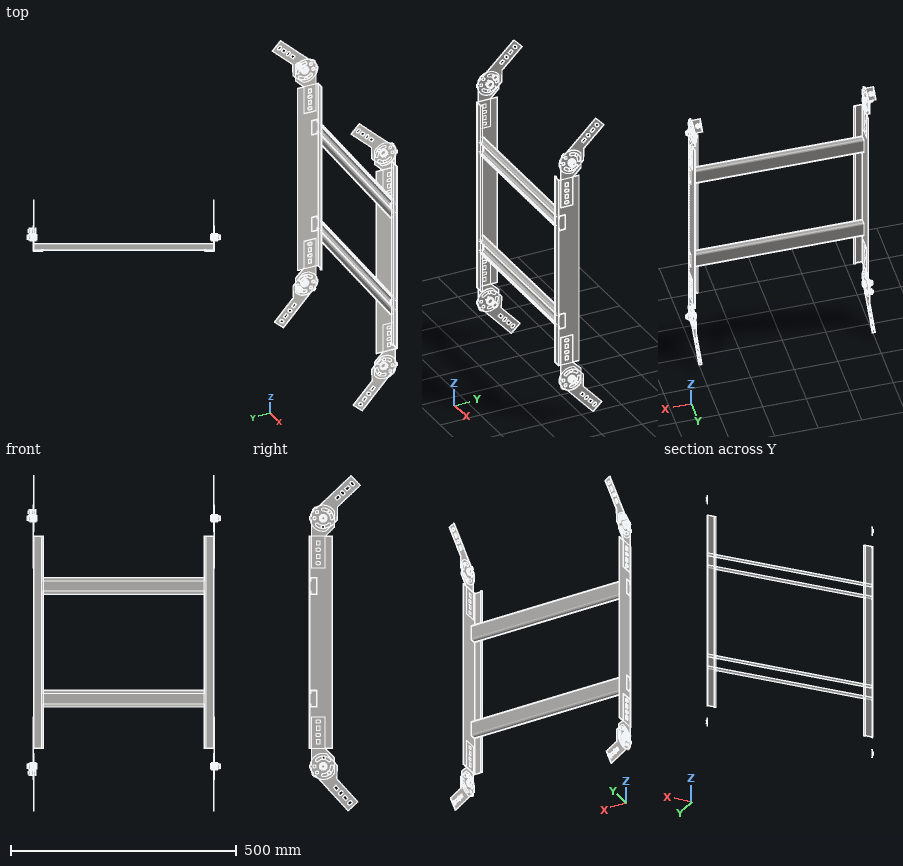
import cadquery as cq
import math

FRAME_WIDTH = 400.0
RAIL_LENGTH = 470.5
RAIL_DEPTH = 51.0
FLANGE_WIDTH = 21.5
BEAD_RADIUS = 2.0
SHEET = 1.5
WEB_OUTER = FRAME_WIDTH / 2
WEB_INNER = WEB_OUTER - SHEET
RUNG_OFFSET = 125.0
RUNG_HEIGHT = 38.0
RUNG_FRONT = 2.0
RUNG_DEPTH = 15.5
RUNG_LIP = 7.5
RUNG_BEND = 2.0

PIVOT_SPACING = 550.0
PIVOT_Y = 31.0
HUB_RADIUS = 29.0
HUB_BACK = 24.5
STRAP_WIDTH = 30.0
STRAP_BACK = 4.0
STRAP_FRONT = STRAP_BACK - STRAP_WIDTH
STRAP_LENGTH = 110.0
SHOULDER_BOTTOM = 41.0
POINTER_RADIUS = 30.5
POINTER_WIDTH = 7.0
UPPER_ARM_ANGLE = 46.5
LOWER_ARM_ANGLE = 42.5

STRAP_HOLE_PITCH = 15.0
STRAP_HOLE_END = 10.5
STRAP_HOLE_COUNT = 4
HOLE_DIA = 7.0
LONG_SLOT = 10.5
WINDOW_HEIGHT = 10.0
HOLE_CIRCLE = 19.0
SLOT_SPAN = 90.0
SLOT_STARTS = (0.0, 225.0)
POINTER_HOLES = (135.0, 180.0)
SIGHT_HOLE_FROM_ARM = 135.0

PIVOT_BOLT = (
    (10.0, 192.0, 214.5),
    (13.0, 192.0, 194.0),
    (17.0, 194.0, 196.0),
    (14.0, 196.0, 198.5),
    (17.0, 201.5, 204.0),
    (14.0, 204.0, 205.0),
    (17.0, 205.0, 208.0),
    (13.0, 208.0, 211.0),
)
LOCK_BOLT = (
    (10.0, 194.0, 210.5),
    (13.0, 194.0, 195.5),
    (13.0, 201.5, 204.5),
    (13.0, 207.0, 210.0),
    (5.7, 210.5, 213.0),
)
SOCKET_DIA = 7.5
SOCKET_DEPTH = 2.0


def make_rail():
    """Right-hand rail: a web and a front flange whose free edge is a round bead."""
    flange_end = WEB_OUTER - FLANGE_WIDTH
    bead_x = flange_end + BEAD_RADIUS
    bead_joint = bead_x + math.sqrt(BEAD_RADIUS**2 - (BEAD_RADIUS - SHEET) ** 2)
    return (
        cq.Workplane("XY")
        .moveTo(WEB_OUTER, RAIL_DEPTH)
        .lineTo(WEB_OUTER, 0)
        .lineTo(bead_x, 0)
        .threePointArc((flange_end, BEAD_RADIUS), (bead_joint, SHEET))
        .lineTo(WEB_INNER, SHEET)
        .lineTo(WEB_INNER, RAIL_DEPTH)
        .close()
        .extrude(RAIL_LENGTH / 2, both=True)
    )


def channel_bar(depth, height, radius, center_z):
    """Round-cornered bar along X between the rail webs, centred on a rung."""
    return (
        cq.Workplane("YZ")
        .center(RUNG_FRONT + RUNG_DEPTH / 2, center_z)
        .rect(depth, height)
        .extrude(WEB_INNER, both=True)
        .edges("|X")
        .fillet(radius)
    )


def make_rung(center_z):
    """Lipped channel, open towards -Y, between the inner faces of the rail webs."""
    channel = channel_bar(RUNG_DEPTH, RUNG_HEIGHT, RUNG_BEND, center_z)
    hollow = channel_bar(RUNG_DEPTH - 2 * SHEET, RUNG_HEIGHT - 2 * SHEET, RUNG_BEND - SHEET, center_z)
    opening = (
        cq.Workplane("YZ")
        .center(RUNG_FRONT + RUNG_DEPTH / 4, center_z)
        .rect(RUNG_DEPTH / 2, RUNG_HEIGHT - 2 * RUNG_LIP)
        .extrude(WEB_INNER, both=True)
    )
    return channel.cut(hollow).cut(opening)


def make_frame():
    """Two rails joined by two rungs."""
    rail = make_rail()
    frame = rail.union(rail.mirror("YZ"))
    for center_z in (-RUNG_OFFSET, RUNG_OFFSET):
        frame = frame.union(make_rung(center_z))
    return frame


def cylinder(diameter, y, z, inner_x, end_x):
    """Round bar along X."""
    return (
        cq.Workplane("YZ", origin=(inner_x, y, z))
        .circle(diameter / 2)
        .extrude(end_x - inner_x)
    )


def on_circle(radius, angle):
    """Y and Z of a point on a circle about the pivot."""
    turn = math.radians(angle)
    return radius * math.cos(turn), radius * math.sin(turn)


def on_hole_circle(angle):
    """Y and Z of a point on the ring of holes."""
    return on_circle(HOLE_CIRCLE, angle)


def rail_plate_hole(angle):
    """Cutter for a round hole through the rail plate only."""
    return cylinder(HOLE_DIA, *on_hole_circle(angle), WEB_OUTER, WEB_OUTER + SHEET)


def hinge_blank(inner_x, thickness):
    """Plate with a hub disc, a shouldered strap and a small pointer on its front edge."""
    arc_back_z = math.sqrt(HUB_RADIUS**2 - HUB_BACK**2)
    arc_front_z = math.sqrt(HUB_RADIUS**2 - STRAP_FRONT**2)
    shoulder_top = SHOULDER_BOTTOM - (HUB_BACK - STRAP_BACK)
    plane = cq.Workplane("YZ", origin=(inner_x, 0, 0))
    plate = (
        plane.moveTo(STRAP_FRONT, -STRAP_LENGTH)
        .lineTo(STRAP_BACK, -STRAP_LENGTH)
        .lineTo(STRAP_BACK, -SHOULDER_BOTTOM)
        .lineTo(HUB_BACK, -shoulder_top)
        .lineTo(HUB_BACK, arc_back_z)
        .threePointArc((0, HUB_RADIUS), (STRAP_FRONT, arc_front_z))
        .close()
        .extrude(thickness)
    )
    pointer = (
        plane.center(-(POINTER_RADIUS + HUB_BACK) / 2, 0)
        .rect(POINTER_RADIUS - HUB_BACK, POINTER_WIDTH)
        .extrude(thickness)
    )
    return plate.union(pointer)


def strap_holes():
    """Row of holes down the strap: round-ended slots across it alternate with upright rectangles."""
    middle = (STRAP_FRONT + STRAP_BACK) / 2
    first = STRAP_HOLE_END - STRAP_LENGTH
    heights = [first + index * STRAP_HOLE_PITCH for index in range(STRAP_HOLE_COUNT)]
    plane = cq.Workplane("YZ", origin=(WEB_INNER, 0, 0))
    slot_centers = [(middle, z) for z in heights[::2]]
    slots = plane.pushPoints(slot_centers).slot2D(LONG_SLOT, HOLE_DIA).extrude(2 * SHEET)
    window_centers = [(middle, z) for z in heights[1::2]]
    windows = plane.pushPoints(window_centers).rect(HOLE_DIA, WINDOW_HEIGHT).extrude(2 * SHEET)
    return slots.union(windows)


def arc_slot(start):
    """Round-ended slot that follows the ring of holes."""
    inner = HOLE_CIRCLE - HOLE_DIA / 2
    outer = HOLE_CIRCLE + HOLE_DIA / 2
    end = start + SLOT_SPAN
    middle = start + SLOT_SPAN / 2
    slot = (
        cq.Workplane("YZ", origin=(WEB_OUTER, 0, 0))
        .moveTo(*on_circle(inner, start))
        .threePointArc(on_circle(inner, middle), on_circle(inner, end))
        .lineTo(*on_circle(outer, end))
        .threePointArc(on_circle(outer, middle), on_circle(outer, start))
        .close()
        .extrude(SHEET)
    )
    for angle in (start, end):
        slot = slot.union(rail_plate_hole(angle))
    return slot


def place_arm(plate, arm_angle):
    """Turn a plate upside down and swing its strap towards +Y."""
    return plate.mirror("XY").rotate((0, 0, 0), (1, 0, 0), -arm_angle)


def make_hinge(arm_angle, locked):
    """Upper right hinge: rail plate outside, arm plate inside, and the bolts that hold them."""
    holes = strap_holes()
    rail_plate = hinge_blank(WEB_OUTER, SHEET).cut(holes)
    for start in SLOT_STARTS:
        rail_plate = rail_plate.cut(arc_slot(start))
    for angle in POINTER_HOLES:
        rail_plate = rail_plate.cut(rail_plate_hole(angle))

    arm_plate = place_arm(hinge_blank(WEB_INNER, SHEET).cut(holes), arm_angle)
    arm_direction = 90 - arm_angle
    for angle in (arm_direction, arm_direction - SIGHT_HOLE_FROM_ARM):
        arm_plate = arm_plate.cut(cylinder(HOLE_DIA, *on_hole_circle(angle), WEB_INNER, WEB_OUTER))

    hinge = rail_plate.union(arm_plate)
    for diameter, inner, outer in PIVOT_BOLT:
        hinge = hinge.union(cylinder(diameter, 0, 0, inner, outer))
    last_x = max(outer for diameter, inner, outer in PIVOT_BOLT)
    hinge = hinge.cut(cylinder(SOCKET_DIA, 0, 0, last_x - SOCKET_DEPTH, last_x))
    if locked:
        for diameter, inner, outer in LOCK_BOLT:
            hinge = hinge.union(cylinder(diameter, *on_hole_circle(arm_direction), inner, outer))
    return hinge.translate((0, PIVOT_Y, PIVOT_SPACING / 2))


frame = make_frame()
hinges = []
for arm_angle, upper in ((UPPER_ARM_ANGLE, True), (LOWER_ARM_ANGLE, False)):
    for left in (True, False):
        hinge = make_hinge(arm_angle, locked=left)
        if left:
            hinge = hinge.mirror("YZ")
        if not upper:
            hinge = hinge.mirror("XY")
        hinges.append(hinge.val())

result = cq.Compound.makeCompound([frame.val(), *hinges])